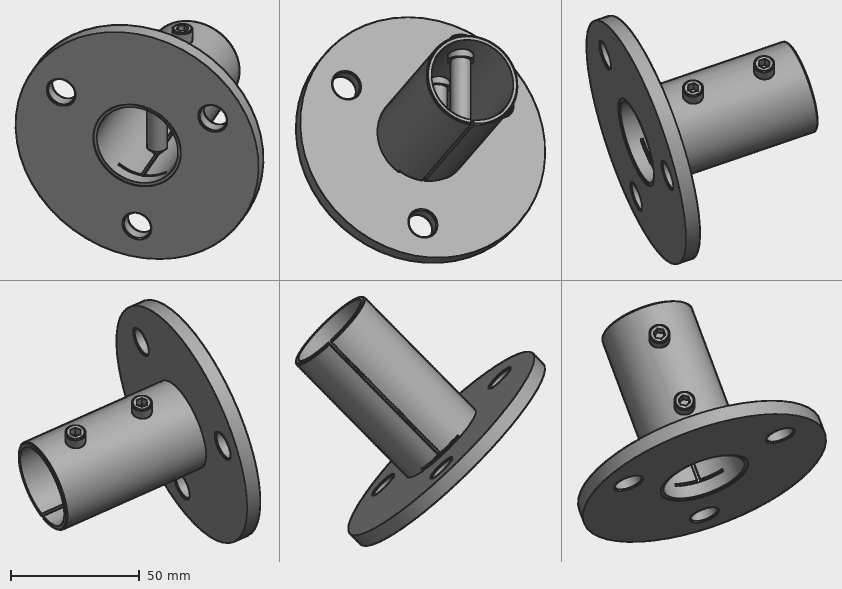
import cadquery as cq
import math


flange_diameter = 100.0
flange_thickness = 6.0
mount_hole_diameter = 11.0
mount_hole_chamfer = 0.5
mount_hole_circle_radius = 36.0
mount_hole_angles = (30, 150, 270)

sleeve_end = 69.0
sleeve_diameter = 37.2
bore_diameter = 33.4
spigot_diameter = 36.0
spigot_setback = 0.5
sleeve_end_chamfer = 0.5

relief_gap = 1.0
relief_width = 19.4
slit_width = 1.2

screw_positions = (24.0, 54.0)
screw_diameter = 8.0
screw_top = 23.4
screw_length = 40.0
screw_top_chamfer = 0.5
screw_tip_diameter = 1.6
socket_across_flats = 4.0
socket_depth = 4.0

boss_diameter = 10.2
boss_bottom = 13.7


def cylinder_along_y(diameter, start, end):
    """Cylinder on the sleeve axis between two Y positions."""
    solid = cq.Solid.makeCylinder(
        diameter / 2, end - start, cq.Vector(0, start, 0), cq.Vector(0, 1, 0)
    )
    return cq.Workplane(obj=solid)


def cylinder_along_z(diameter, y, bottom, top):
    """Upright cylinder crossing the sleeve axis at the given Y."""
    solid = cq.Solid.makeCylinder(diameter / 2, top - bottom, cq.Vector(0, y, bottom))
    return cq.Workplane(obj=solid)


def make_mount_hole():
    """Cutter for a through hole on the sleeve axis, chamfered at both faces."""
    hole_radius = mount_hole_diameter / 2
    mouth_radius = hole_radius + mount_hole_chamfer
    profile = [
        (0, 0),
        (mouth_radius, 0),
        (hole_radius, mount_hole_chamfer),
        (hole_radius, flange_thickness - mount_hole_chamfer),
        (mouth_radius, flange_thickness),
        (0, flange_thickness),
    ]
    return cq.Workplane().polyline(profile).close().revolve(360, (0, 0), (0, 1))


def make_flange():
    """Disc with a bore for the spigot and three mounting holes."""
    flange = cylinder_along_y(flange_diameter, 0, flange_thickness)
    flange = flange.cut(cylinder_along_y(spigot_diameter, 0, flange_thickness))
    for angle in mount_hole_angles:
        x = mount_hole_circle_radius * math.cos(math.radians(angle))
        z = mount_hole_circle_radius * math.sin(math.radians(angle))
        flange = flange.cut(make_mount_hole().translate((x, 0, z)))
    return flange


def make_relief():
    """Gap behind the flange and a slit from it to the rear end, both in the sleeve bottom."""
    sleeve_radius = sleeve_diameter / 2
    gap = cq.Workplane().box(
        relief_width, relief_gap, sleeve_radius, centered=(True, False, False)
    )
    slit = cq.Workplane().box(
        slit_width, sleeve_end - flange_thickness, sleeve_radius, centered=(True, False, False)
    )
    return gap.union(slit).translate((0, flange_thickness, -sleeve_radius))


def make_sleeve():
    """Tube with a spigot in the flange, inner screw bosses and the relief cut."""
    tube = cylinder_along_y(sleeve_diameter, flange_thickness, sleeve_end)
    tube = tube.faces(">Y").chamfer(sleeve_end_chamfer)
    spigot = cylinder_along_y(spigot_diameter, spigot_setback, flange_thickness)
    bore = cylinder_along_y(bore_diameter, spigot_setback, sleeve_end)
    sleeve = tube.union(spigot).cut(bore)
    wall_middle = (sleeve_diameter + bore_diameter) / 4
    for y in screw_positions:
        sleeve = sleeve.union(cylinder_along_z(boss_diameter, y, boss_bottom, wall_middle))
        sleeve = sleeve.cut(cylinder_along_z(screw_diameter, y, boss_bottom, screw_top))
    return sleeve.cut(make_relief())


def make_screw(y):
    """Set screw with a conical point and a hexagon socket, flats facing X."""
    point_length = (screw_diameter - screw_tip_diameter) / 2
    socket_diameter = socket_across_flats / math.cos(math.pi / 6)
    shank = cylinder_along_z(screw_diameter, y, screw_top - screw_length, screw_top)
    shank = shank.faces("<Z").chamfer(point_length)
    shank = shank.faces(">Z").chamfer(screw_top_chamfer)
    socket = (
        cq.Workplane()
        .polygon(6, socket_diameter)
        .extrude(socket_depth)
        .rotate((0, 0, 0), (0, 0, 1), 90)
        .translate((0, y, screw_top - socket_depth))
    )
    return shank.cut(socket)


flange = make_flange()
sleeve = make_sleeve()
screws = [make_screw(y) for y in screw_positions]

result = cq.Compound.makeCompound(
    [flange.val(), sleeve.val(), *[screw.val() for screw in screws]]
)